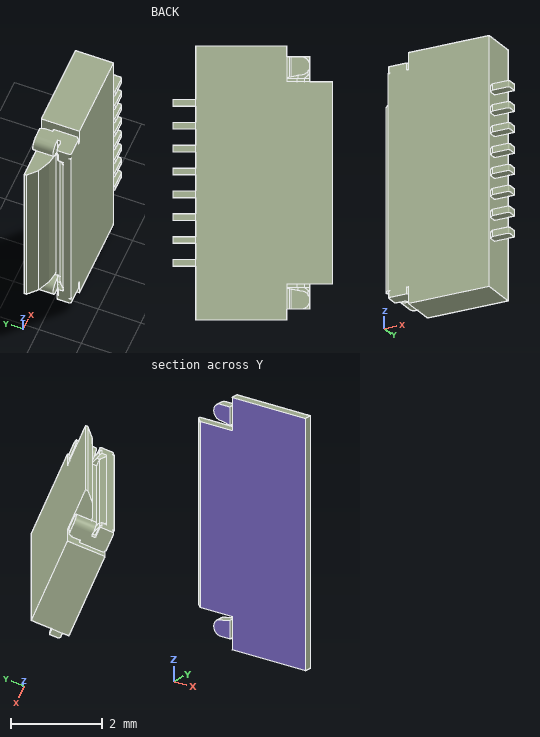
import cadquery as cq


mouth_x = 0.5
body_x = 1.0
body_end_x = 3.0
pin_end_x = 3.5
slot_end_x = 0.78

length = 6.0
depth = 0.9

ear_half = length / 2 - 0.24
wall_half = length / 2 - 0.4
wall_y = 0.29

nose_radius = 0.2
prong_inner_z = ear_half - 2 * nose_radius
prong_root_z = 2.305
prong_y = 0.42
gap_end_x = 0.76
gap_floor_y = 0.335
gap_round = 0.03
ear_foot_round = 0.05
ear_root_chamfer = 0.05
ear_notch_y = 0.61
ear_notch_bend_y = 0.81
ear_notch_x = 0.95
ear_notch_top_x = 0.91

slot_half = 2.285
slot_mouth_half = 2.39
slot_back_y = 0.55
slot_lip_y = 0.18
slot_bend_x = 0.53
slot_bend_y = 0.215
slot_floor_y = 0.3
slot_lead_in_x = 0.62
lead_in_y = 0.33
lead_in_x = 0.54

latch_half = length / 2 - 0.785
latch_root_y = 0.46
latch_tip_y = 0.845
latch_nose_x = 0.205
latch_nose_y = 0.65
latch_bend_x = 0.51
latch_bend_y = 0.51

pin_count = 8
pin_pitch = length / 12
pin_width = 0.15
pin_height = 0.25
pin_root_run = 0.085
pin_root_rise = 0.065
pin_tip_round = 0.055


def box(x_range, y_range, z_range):
    """Block between two limits on each axis."""
    size = [high - low for low, high in (x_range, y_range, z_range)]
    corner = (x_range[0], y_range[0], z_range[0])
    return cq.Workplane("XY").box(*size, centered=False).translate(corner)


def prism(points, z_low, z_high):
    """XY outline extruded between two heights."""
    return cq.Workplane("XY").workplane(offset=z_low).polyline(points).close().extrude(z_high - z_low)


def mirrored_pair(upper):
    """A feature at the +Z end together with its copy at the -Z end."""
    return upper.union(upper.mirror("XY"))


def make_housing():
    """Main body with the mouth wall and the bar that closes the cable slot."""
    body = box((body_x, body_end_x), (0, depth), (-length / 2, length / 2))
    mouth_wall = box((mouth_x, body_x), (0, prong_y), (-wall_half, wall_half))
    slot_bar = box((slot_end_x, body_x), (0, slot_back_y), (-slot_half, slot_half))
    return body.union(mouth_wall).union(slot_bar)


def make_cable_slot():
    """Cavity with a ramped lead-in at its front lip and a flared lead-in at each end."""
    floor_profile = [
        (mouth_x, slot_lip_y),
        (slot_bend_x, slot_bend_y),
        (slot_lead_in_x, slot_floor_y),
        (slot_end_x, slot_floor_y),
        (slot_end_x, slot_back_y),
        (mouth_x, slot_back_y),
    ]
    cavity = prism(floor_profile, -slot_half, slot_half)
    flare = (
        cq.Workplane("XZ", origin=(0, slot_lip_y, 0))
        .polyline([
            (mouth_x, slot_half),
            (mouth_x, slot_mouth_half),
            (slot_lead_in_x, slot_half),
        ])
        .close()
        .extrude(slot_lip_y - slot_back_y)
    )
    return cavity.union(mirrored_pair(flare))


def make_side_passage():
    """Tapered opening under the ear prong, running in from the mouth wall."""
    profile = [
        (mouth_x, wall_y),
        (lead_in_x, lead_in_y),
        (gap_end_x, prong_y),
        (mouth_x, prong_y),
    ]
    return prism(profile, slot_half, wall_half)


def make_ear():
    """Round-nosed prong joined behind a narrow gap to a foot at the front face."""
    nose_x = mouth_x + nose_radius
    prong = (
        cq.Workplane("XZ", origin=(0, prong_y, 0))
        .moveTo(body_x, ear_half)
        .lineTo(nose_x, ear_half)
        .threePointArc((mouth_x, ear_half - nose_radius), (nose_x, prong_inner_z))
        .lineTo(body_x, prong_root_z)
        .close()
        .extrude(prong_y - depth)
    )
    foot = box((mouth_x, body_x), (0, gap_floor_y), (wall_half, ear_half))
    foot = foot.edges("|Z and <X and <Y").fillet(ear_foot_round)
    foot = foot.edges("|Z and <X and >Y").fillet(gap_round)
    foot = foot.edges("|Z and >X and <Y").chamfer(ear_root_chamfer)
    web = box((gap_end_x, body_x), (gap_floor_y, prong_y), (wall_half, ear_half))
    ear = prong.union(foot).union(web)
    gap_corner = cq.selectors.NearestToPointSelector((gap_end_x, gap_floor_y, (wall_half + ear_half) / 2))
    ear = ear.edges(gap_corner).fillet(gap_round)
    notch_profile = [
        (ear_notch_top_x, depth),
        (ear_notch_x, ear_notch_bend_y),
        (ear_notch_x, ear_notch_y),
        (body_x, ear_notch_y),
        (body_x, depth),
    ]
    return ear.cut(prism(notch_profile, slot_half, ear_half))


def make_latch():
    """Wedge-nosed tongue whose sloping underside runs into the bottom of the slot."""
    return (
        cq.Workplane("XY", origin=(0, 0, -latch_half))
        .polyline([
            (0, depth),
            (0, latch_tip_y),
            (latch_nose_x, latch_nose_y),
            (latch_bend_x, latch_bend_y),
            (slot_end_x, latch_root_y),
            (body_x, latch_root_y),
            (body_x, depth),
        ])
        .close()
        .extrude(2 * latch_half)
    )


def make_pin(z_center):
    """Solder tail with a chamfered root and a rounded tip at the front face."""
    profile = [
        (body_end_x, pin_root_rise),
        (body_end_x + pin_root_run, 0),
        (pin_end_x, 0),
        (pin_end_x, pin_height),
        (body_end_x, pin_height),
    ]
    pin = prism(profile, z_center - pin_width / 2, z_center + pin_width / 2)
    return pin.edges("|Z and >X and <Y").fillet(pin_tip_round)


result = make_housing().cut(make_cable_slot()).cut(mirrored_pair(make_side_passage()))
result = result.union(mirrored_pair(make_ear()))
result = result.union(make_latch())
for index in range(pin_count):
    result = result.union(make_pin((index - (pin_count - 1) / 2) * pin_pitch))